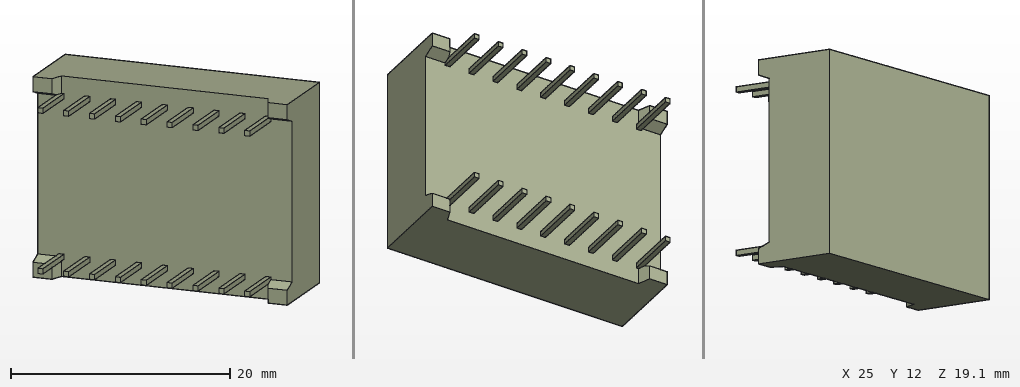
import cadquery as cq
body_width = 25.0
body_height = 19.05
overall_depth = 12.0
foot_depth = 8.0
foot_rise = 1.2

foot_tip_width = 1.88
foot_tip_height = 1.42
foot_flare = 0.48

pin_size = 0.5
pins_per_row = 9
pin_row_length = 20.32
pin_row_spacing = 15.25

slab_depth = foot_depth - foot_rise
pin_length = overall_depth - slab_depth
pin_pitch = pin_row_length / (pins_per_row - 1)

recess_y = -slab_depth
foot_tip_y = -foot_depth


def make_slab():
    return cq.Workplane("XY").box(body_width, slab_depth, body_height).translate((0, -slab_depth / 2, 0))


def cross_groove(clear_span, extrude_plane, length):
    """Trapezoidal channel between two feet, narrowest at the recessed face."""
    floor_half = clear_span / 2 - foot_flare
    mouth_half = clear_span / 2
    outline = [
        (-floor_half, recess_y),
        (floor_half, recess_y),
        (mouth_half, foot_tip_y),
        (-mouth_half, foot_tip_y),
    ]
    if extrude_plane == "YZ":
        outline = [(y, across) for across, y in outline]
    return cq.Workplane(extrude_plane).polyline(outline).close().extrude(length / 2, both=True)


def make_feet():
    """Front layer of the block, crossed by two channels that leave the four corners."""
    layer = (
        cq.Workplane("XY")
        .box(body_width, foot_rise, body_height)
        .translate((0, recess_y - foot_rise / 2, 0))
    )
    upright_channel = cross_groove(body_width - 2 * foot_tip_width, "XY", body_height)
    level_channel = cross_groove(body_height - 2 * foot_tip_height, "YZ", body_width)
    return layer.cut(upright_channel).cut(level_channel)


def make_pins():
    return (
        cq.Workplane("XZ", origin=(0, recess_y, 0))
        .rarray(pin_pitch, pin_row_spacing, pins_per_row, 2)
        .rect(pin_size, pin_size)
        .extrude(pin_length)
    )


result = make_slab().union(make_feet()).union(make_pins())